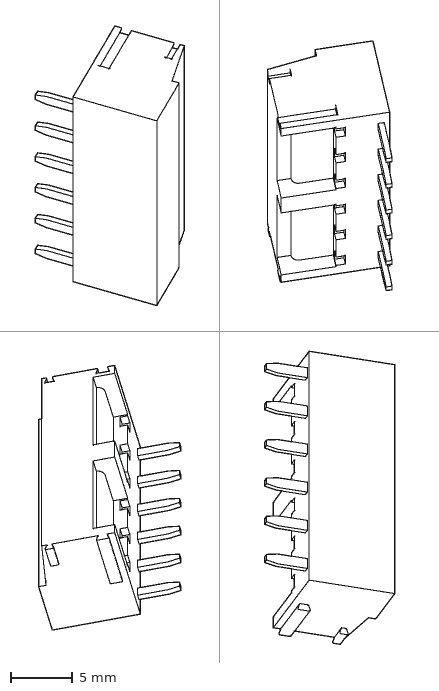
import cadquery as cq
import math


overall_height = 21.55
key_height = 0.55
pin_count = 6
body_height = overall_height - key_height
pitch = body_height / pin_count
body_width = 7.4
body_depth = 9.0

nose_length = 4.2
nose_base_x = 6.77
nose_tip_x = 6.12

pin_length = 3.51
pin_width = 0.9
pin_tip_width = 0.52
pin_taper_length = 0.97
pin_thickness = 0.5
pin_center_y = 0.71

window_count = 2
window_margin = 1.01
window_length = 4.55
window_depth = 1.2
window_deep_depth = 1.8
window_deep_length = 1.15
step_radius = window_deep_depth - window_depth

pocket_length = 0.78
pocket_height = 1.15
pocket_depth = 0.65

dovetails = [(1.01, 0.75, 4.8), (5.47, 0.4, 1.83)]
dovetail_overhang = 0.2
slot_depth = 0.6
dovetail_round = 0.1


def make_body():
    outline = [
        (0, 0),
        (body_width, 0),
        (body_width, body_depth - nose_length),
        (nose_base_x, body_depth - nose_length),
        (nose_tip_x, body_depth),
        (0, body_depth),
    ]
    return cq.Workplane("XY").polyline(outline).close().extrude(body_height)


def make_pin(center_z):
    half = pin_width / 2
    half_tip = pin_tip_width / 2
    taper_x = pin_taper_length - pin_length
    outline = [
        (0, -half),
        (0, half),
        (taper_x, half),
        (-pin_length, half_tip),
        (-pin_length, -half_tip),
        (taper_x, -half),
    ]
    pin = cq.Workplane("XZ").polyline(outline).close().extrude(pin_thickness / 2, both=True)
    return pin.translate((0, pin_center_y, center_z))


def make_window(bottom_z, height):
    near_y = body_depth - window_length
    step_y = body_depth - window_deep_length
    round_start_y = step_y - step_radius
    bend = step_radius * math.sqrt(0.5)
    middle = (window_deep_depth - bend, round_start_y + bend)
    window = (
        cq.Workplane("XY")
        .moveTo(0, near_y)
        .lineTo(window_depth, near_y)
        .lineTo(window_depth, round_start_y)
        .threePointArc(middle, (window_deep_depth, step_y))
        .lineTo(window_deep_depth, body_depth)
        .lineTo(0, body_depth)
        .close()
        .extrude(height)
    )
    return window.translate((0, 0, bottom_z))


def make_pocket(center_z):
    near_y = body_depth - window_length - pocket_length
    pocket = cq.Workplane("XY").box(
        pocket_depth, pocket_length, pocket_height, centered=(False, False, True)
    )
    return pocket.translate((0, near_y, center_z))


def make_dovetail(center_x, throat_width, length, height, top_z):
    """Dovetail bar below top_z, narrow at the top, ending on the +Y face."""
    half = throat_width / 2
    half_wide = half + dovetail_overhang
    outline = [(-half, 0), (half, 0), (half_wide, -height), (-half_wide, -height)]
    bar = cq.Workplane("XZ").polyline(outline).close().extrude(length)
    return bar.translate((center_x, body_depth, top_z))


def cut_slot(body, center_x, throat_width, length):
    """Cut a dovetail slot into the top face and round its two long lips."""
    slotted = body.cut(make_dovetail(center_x, throat_width, length, slot_depth, body_height))
    middle_y = body_depth - length / 2
    for side in (-1, 1):
        lip = (center_x + side * throat_width / 2, middle_y, body_height)
        slotted = slotted.edges(cq.selectors.NearestToPointSelector(lip)).fillet(dovetail_round)
    return slotted


def make_key(center_x, throat_width, length):
    key = make_dovetail(center_x, throat_width, length, key_height, 0)
    return key.edges("|Y and <Z").fillet(dovetail_round)


result = make_body()

window_span = body_height / window_count
window_height = window_span - 2 * window_margin
for index in range(window_count):
    result = result.cut(make_window(index * window_span + window_margin, window_height))

for index in range(pin_count):
    center_z = (index + 0.5) * pitch
    result = result.cut(make_pocket(center_z)).union(make_pin(center_z))

for center_x, throat_width, length in dovetails:
    result = cut_slot(result, center_x, throat_width, length)
    result = result.union(make_key(center_x, throat_width, length))